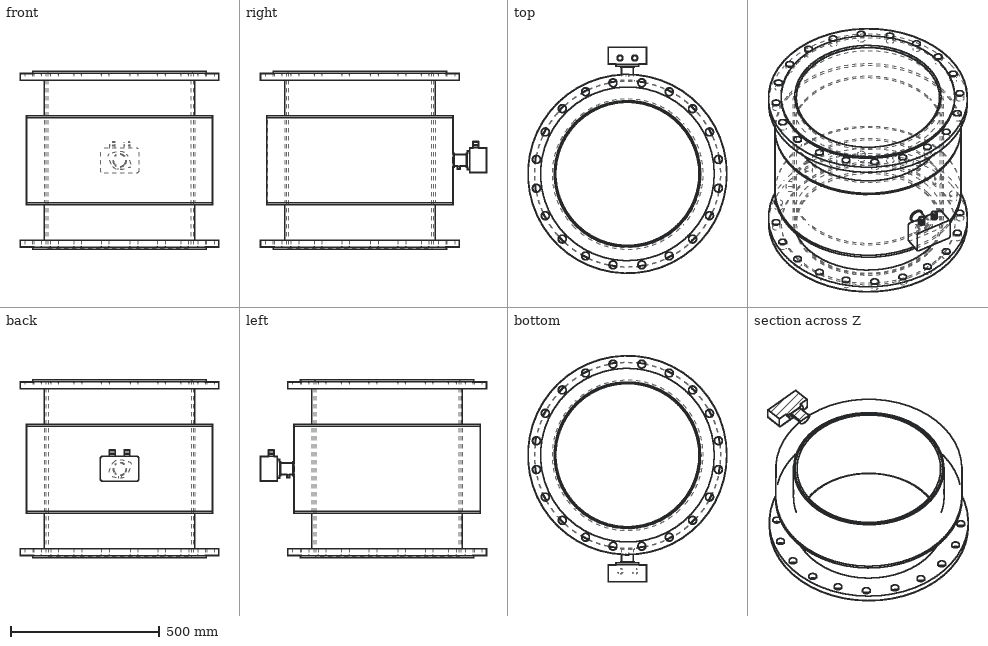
import cadquery as cq
import math


LENGTH = 600.0
PIPE_DIA = 508.0
LINER_DIA = 496.0
BORE_DIA = 482.0
LIP_DIA = 585.0
LIP_THICKNESS = 7.5
BORE_CHAMFER = 5.0

FLANGE_DIA = 670.0
FLANGE_THICKNESS = 23.5
BOLT_COUNT = 20
BOLT_CIRCLE_DIA = 620.0
BOLT_HOLE_DIA = 26.0

HOUSING_DIA = 628.0
HOUSING_INNER_DIA = 625.0
HOUSING_LENGTH = 300.0
END_PLATE_THICKNESS = 7.5

NECK_DIA = 40.0
COLLAR_DIA = 46.0
COLLAR_HEIGHT = 3.0
STUB_SIDE = 10.0
STUB_Y = 333.0
STUB_BOTTOM = -30.0

BOX_BACK = 426.5
BOX_WIDTH = 129.5
BOX_DEPTH = 57.0
BOX_HEIGHT = 83.0
BOX_FILLET = 7.0

PLATE_THICKNESS = 7.5
PLATE_RADIUS = 31.0
LOBE_RADIUS = 8.0
LOBE_DISTANCE = 34.0
PLATE_TILT = 27.0

GLAND_DIA = 20.0
GLAND_WAIST_DIA = 16.0
GLAND_SPACING = 49.5
GLAND_Y = 390.0
GLAND_BASE_HEIGHT = 7.0
GLAND_WAIST_HEIGHT = 4.5
GLAND_HEAD_HEIGHT = 11.5
GLAND_CHAMFER_HEIGHT = 4.0
GLAND_CHAMFER_WIDTH = 1.5

HALF_LENGTH = LENGTH / 2
FLANGE_FACE_Z = HALF_LENGTH - LIP_THICKNESS
FLANGE_BACK_Z = FLANGE_FACE_Z - FLANGE_THICKNESS
HOUSING_HALF = HOUSING_LENGTH / 2
CAVITY_HALF = HOUSING_HALF - END_PLATE_THICKNESS
BOX_FRONT = BOX_BACK - BOX_DEPTH
PLATE_FRONT = BOX_FRONT - PLATE_THICKNESS


def disc_z(diameter, z_start, z_end):
    """Cylinder about the Z axis."""
    return cq.Workplane("XY", origin=(0, 0, z_start)).circle(diameter / 2).extrude(z_end - z_start)


def disc_y(diameter, y_start, y_end):
    """Cylinder about the Y axis."""
    return cq.Workplane("XZ", origin=(0, y_start, 0)).circle(diameter / 2).extrude(y_start - y_end)


def make_flange():
    """Upper flange ring with its bolt holes straddling the X and Y axes."""
    holes = (
        cq.Workplane("XY", origin=(0, 0, FLANGE_BACK_Z))
        .polarArray(BOLT_CIRCLE_DIA / 2, 180 / BOLT_COUNT, 360, BOLT_COUNT)
        .circle(BOLT_HOLE_DIA / 2)
        .extrude(FLANGE_THICKNESS)
    )
    return disc_z(FLANGE_DIA, FLANGE_BACK_Z, FLANGE_FACE_Z).cut(holes)


def make_neck():
    """Neck from inside the housing to the mounting plate, with a collar at each end and a stub below."""
    root_y = PIPE_DIA / 2
    neck = disc_y(NECK_DIA, root_y, PLATE_FRONT)
    lower_collar = disc_y(COLLAR_DIA, root_y, HOUSING_DIA / 2 + COLLAR_HEIGHT)
    upper_collar = disc_y(COLLAR_DIA, PLATE_FRONT - COLLAR_HEIGHT, PLATE_FRONT)
    stub = (
        cq.Workplane("XY", origin=(0, STUB_Y, STUB_BOTTOM))
        .rect(STUB_SIDE, STUB_SIDE)
        .extrude(-STUB_BOTTOM)
    )
    return neck.union(lower_collar).union(upper_collar).union(stub)


def make_tube():
    """Pipe, two flanges, hollow coil housing and neck as one welded body."""
    pipe = disc_z(PIPE_DIA, -FLANGE_FACE_Z, FLANGE_FACE_Z)
    cavity = disc_z(HOUSING_INNER_DIA, -CAVITY_HALF, CAVITY_HALF).cut(pipe)
    housing = disc_z(HOUSING_DIA, -HOUSING_HALF, HOUSING_HALF).union(make_neck()).cut(cavity)
    flange = make_flange()
    tube = pipe.union(housing).union(flange).union(flange.mirror("XY"))
    return tube.cut(disc_z(LINER_DIA, -FLANGE_FACE_Z, FLANGE_FACE_Z))


def make_liner():
    """Sleeve inside the pipe, turned outward over both flange faces, with chamfered bore ends."""
    bore_r = BORE_DIA / 2
    liner_r = LINER_DIA / 2
    lip_r = LIP_DIA / 2
    upper_half = [
        (liner_r, FLANGE_FACE_Z),
        (lip_r, FLANGE_FACE_Z),
        (lip_r, HALF_LENGTH),
        (bore_r + BORE_CHAMFER, HALF_LENGTH),
        (bore_r, HALF_LENGTH - BORE_CHAMFER),
    ]
    lower_half = [(r, -z) for r, z in reversed(upper_half)]
    profile = cq.Workplane("XZ").polyline(upper_half + lower_half).close()
    return profile.revolve(360, (0, 0, 0), (0, 1, 0))


def make_mounting_plate():
    """Disc with two opposite lobes, joined to it by straight tangent sides."""
    tangent = math.acos((PLATE_RADIUS - LOBE_RADIUS) / LOBE_DISTANCE)
    cos_t = math.cos(tangent)
    sin_t = math.sin(tangent)
    lobe_x = LOBE_DISTANCE + LOBE_RADIUS * cos_t
    lobe_z = LOBE_RADIUS * sin_t
    lobe = (
        cq.Workplane("XZ")
        .moveTo(PLATE_RADIUS * cos_t, -PLATE_RADIUS * sin_t)
        .lineTo(lobe_x, -lobe_z)
        .threePointArc((LOBE_DISTANCE + LOBE_RADIUS, 0), (lobe_x, lobe_z))
        .lineTo(PLATE_RADIUS * cos_t, PLATE_RADIUS * sin_t)
        .lineTo(0, 0)
        .close()
        .extrude(PLATE_THICKNESS)
        .translate((0, BOX_FRONT, 0))
    )
    plate = disc_y(2 * PLATE_RADIUS, BOX_FRONT, PLATE_FRONT)
    for angle in (PLATE_TILT, PLATE_TILT + 180):
        plate = plate.union(lobe.rotate((0, 0, 0), (0, 1, 0), angle))
    return plate


def make_gland():
    """Round gland standing on z = 0: base, narrow waist and a head with a chamfered top."""
    base_r = GLAND_DIA / 2
    waist_r = GLAND_WAIST_DIA / 2
    waist_z = GLAND_BASE_HEIGHT
    head_z = waist_z + GLAND_WAIST_HEIGHT
    top_z = head_z + GLAND_HEAD_HEIGHT
    profile = [
        (0, 0),
        (base_r, 0),
        (base_r, waist_z),
        (waist_r, waist_z),
        (waist_r, head_z),
        (base_r, head_z),
        (base_r, top_z - GLAND_CHAMFER_HEIGHT),
        (base_r - GLAND_CHAMFER_WIDTH, top_z),
        (0, top_z),
    ]
    return cq.Workplane("XZ").polyline(profile).close().revolve(360, (0, 0, 0), (0, 1, 0))


def make_terminal_box():
    """Box with rounded long edges, its mounting plate and two cable glands on top."""
    box = (
        cq.Workplane("XY", origin=(0, BOX_BACK - BOX_DEPTH / 2, 0))
        .box(BOX_WIDTH, BOX_DEPTH, BOX_HEIGHT)
        .edges("|Y")
        .fillet(BOX_FILLET)
    )
    box = box.union(make_mounting_plate())
    for x in (-GLAND_SPACING / 2, GLAND_SPACING / 2):
        box = box.union(make_gland().translate((x, GLAND_Y, BOX_HEIGHT / 2)))
    return box


tube = make_tube()
liner = make_liner()
terminal_box = make_terminal_box()

result = cq.Compound.makeCompound([tube.val(), liner.val(), terminal_box.val()])